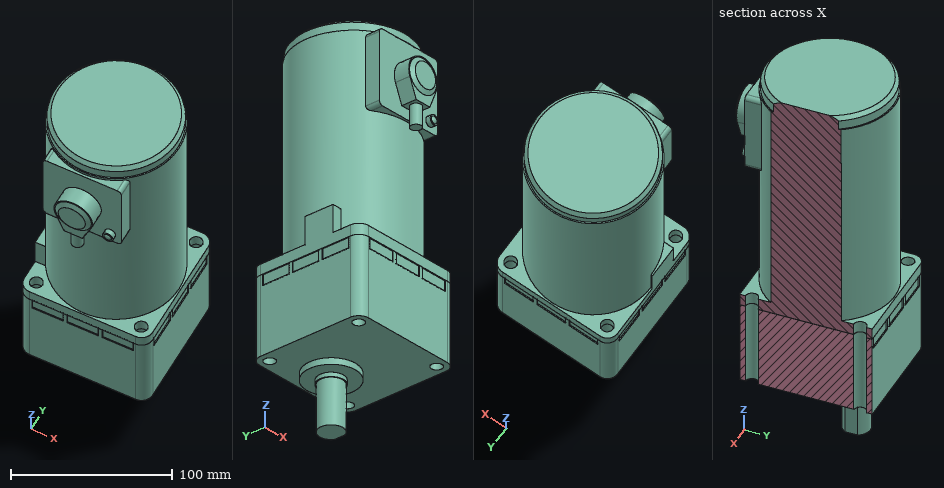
import cadquery as cq
import math

TOTAL_HEIGHT = 264
SHOULDER_BOTTOM = 34.0
BOSS_BOTTOM = 37.2
GEARHEAD_BOTTOM = 42.0
GEARHEAD_TOP = 100.0
FLANGE_TOP = 108.0
BARREL_TOP = 255.3

SIDE = 90.0
SIDE_COUNT = 4
CORNER_RADIUS = 8.0
BOLT_DIAMETER = 8.5
BOLT_SPACING = 73.5

OVERALL_DEPTH = 104.5

SHAFT_OFFSET = 18.2
BOSS_DIAMETER = 39.5
SHOULDER_DIAMETER = 20.0
SHAFT_DIAMETER = 18.7
FLAT_DEPTH = 1.0
FLAT_LENGTH = 24.0

RECESS_COUNT = 3
RECESS_WIDTH = 21.6
RECESS_HEIGHT = 8.0
RECESS_DEPTH = 0.8
RECESS_PITCH = 24.5

BARREL_DIAMETER = 88.0
CAP_DIAMETER = 86.0
CAP_CHAMFER = 2.5

LEAD_BLOCK_FRONT = -22.7
LEAD_BLOCK_BACK = 0.3
LEAD_BLOCK_HEIGHT = 20.0

BOX_SIZE = 55.0
BOX_CENTER_Z = 226.0
BOX_CORNER_RADIUS = 3.0
BOX_FACE = 45.7

OUTLET_CENTER_Z = 225.7
OUTLET_RADIUS = 13.5
TIP_BASE_RADIUS = 12.7
OUTLET_FACE = 57.5
OUTLET_TIP = OVERALL_DEPTH - SIDE / 2
OUTLET_TIP_RADIUS = 9.5
NECK_WIDTH = 13.0
NECK_DROP = 19.3
CABLE_DIAMETER = 8.2
CABLE_LENGTH = 15.0
CABLE_OFFSET = 51.7

SCREW_X = 19.8
SCREW_DROP = 19.8
SCREW_DIAMETER = 7.5
SCREW_HEIGHT = 3.7
SCREW_DOME_RADIUS = 2.6
SCREW_DOME_HEIGHT = 1.3


def cylinder(diameter, bottom, top, y=0):
    """Upright cylinder between two heights."""
    return cq.Workplane("XY", origin=(0, y, bottom)).circle(diameter / 2).extrude(top - bottom)


def square_block(bottom, top):
    """Square block with rounded upright edges and a bolt hole at each corner."""
    return (
        cq.Workplane("XY", origin=(0, 0, bottom))
        .rect(SIDE, SIDE)
        .extrude(top - bottom)
        .edges("|Z")
        .fillet(CORNER_RADIUS)
        .faces(">Z")
        .workplane()
        .rect(BOLT_SPACING, BOLT_SPACING, forConstruction=True)
        .vertices()
        .hole(BOLT_DIAMETER)
    )


def facing_front(depth, height):
    """Workplane facing -Y at the given distance from the motor axis and height along Z."""
    return cq.Workplane("XZ", origin=(0, -depth, height))


def side_recesses():
    """Rows of recesses that open at the top of each of the four gearhead sides."""
    row = (
        cq.Workplane("XY", origin=(0, -SIDE / 2, GEARHEAD_TOP - RECESS_HEIGHT / 2))
        .rarray(RECESS_PITCH, 2.6, RECESS_COUNT, 1)
        .box(RECESS_WIDTH, 2 * RECESS_DEPTH, RECESS_HEIGHT)
    )
    return [row.rotate((0, 0, 0), (0, 0, 1), 360 / SIDE_COUNT * side) for side in range(SIDE_COUNT)]


def output_shaft():
    """Shaft with a flat on the +X side at its free end."""
    shaft = cylinder(SHAFT_DIAMETER, 0, SHOULDER_BOTTOM, SHAFT_OFFSET)
    flat = cq.Workplane("XY").box(SHAFT_DIAMETER, SHAFT_DIAMETER, FLAT_LENGTH, centered=(False, True, False))
    return shaft.cut(flat.translate((SHAFT_DIAMETER / 2 - FLAT_DEPTH, SHAFT_OFFSET, 0)))


def make_gearhead():
    body = square_block(GEARHEAD_BOTTOM, GEARHEAD_TOP)
    for row in side_recesses():
        body = body.cut(row)
    boss = cylinder(BOSS_DIAMETER, BOSS_BOTTOM, GEARHEAD_BOTTOM, SHAFT_OFFSET)
    shoulder = cylinder(SHOULDER_DIAMETER, SHOULDER_BOTTOM, BOSS_BOTTOM, SHAFT_OFFSET)
    return body.union(boss).union(shoulder).union(output_shaft())


def lead_block():
    """Block that stands on the flange and runs into the barrel."""
    return cq.Workplane("XY", origin=(-SIDE / 2, LEAD_BLOCK_FRONT, FLANGE_TOP)).box(
        SIDE / 2, LEAD_BLOCK_BACK - LEAD_BLOCK_FRONT, LEAD_BLOCK_HEIGHT, centered=False
    )


def terminal_box():
    """Square box that runs from its front face into the barrel."""
    box = facing_front(0, BOX_CENTER_Z).rect(BOX_SIZE, BOX_SIZE).extrude(BOX_FACE)
    return box.edges("|Y").fillet(BOX_CORNER_RADIUS)


def cable_outlet():
    """Round outlet with a conical tip, a neck tapering tangentially downward, and a cable stub."""
    half_neck = NECK_WIDTH / 2
    corner_distance = math.hypot(half_neck, NECK_DROP)
    tangent_angle = math.acos(OUTLET_RADIUS / corner_distance) - math.atan2(NECK_DROP, half_neck)
    tangent_x = OUTLET_RADIUS * math.cos(tangent_angle)
    tangent_z = OUTLET_RADIUS * math.sin(tangent_angle)
    outlet = (
        facing_front(BOX_FACE, OUTLET_CENTER_Z)
        .moveTo(-half_neck, -NECK_DROP)
        .lineTo(half_neck, -NECK_DROP)
        .lineTo(tangent_x, tangent_z)
        .threePointArc((0, OUTLET_RADIUS), (-tangent_x, tangent_z))
        .close()
        .extrude(OUTLET_FACE - BOX_FACE)
    )
    tip = (
        facing_front(OUTLET_FACE, OUTLET_CENTER_Z)
        .circle(TIP_BASE_RADIUS)
        .workplane(offset=OUTLET_TIP - OUTLET_FACE)
        .circle(OUTLET_TIP_RADIUS)
        .loft()
    )
    neck_bottom = OUTLET_CENTER_Z - NECK_DROP
    cable = cylinder(CABLE_DIAMETER, neck_bottom - CABLE_LENGTH, neck_bottom, -CABLE_OFFSET)
    return outlet.union(tip).union(cable)


def earth_screw():
    """Round screw with a smaller domed end."""
    shank = (
        facing_front(BOX_FACE, BOX_CENTER_Z)
        .center(SCREW_X, -SCREW_DROP)
        .circle(SCREW_DIAMETER / 2)
        .extrude(SCREW_HEIGHT)
    )
    sphere_radius = (SCREW_DOME_RADIUS**2 + SCREW_DOME_HEIGHT**2) / (2 * SCREW_DOME_HEIGHT)
    sphere_y = sphere_radius - BOX_FACE - SCREW_HEIGHT - SCREW_DOME_HEIGHT
    sphere = cq.Workplane("XY", origin=(SCREW_X, sphere_y, BOX_CENTER_Z - SCREW_DROP)).sphere(sphere_radius)
    return shank.union(sphere)


def make_motor():
    flange = square_block(GEARHEAD_TOP, FLANGE_TOP)
    barrel = cylinder(BARREL_DIAMETER, FLANGE_TOP, BARREL_TOP)
    cap = cylinder(CAP_DIAMETER, BARREL_TOP, TOTAL_HEIGHT).faces(">Z").chamfer(CAP_CHAMFER)
    motor = flange.union(barrel).union(cap).union(lead_block())
    return motor.union(terminal_box()).union(cable_outlet()).union(earth_screw())


gearhead = make_gearhead()
motor = make_motor()

result = cq.Compound.makeCompound([gearhead.val(), motor.val()])